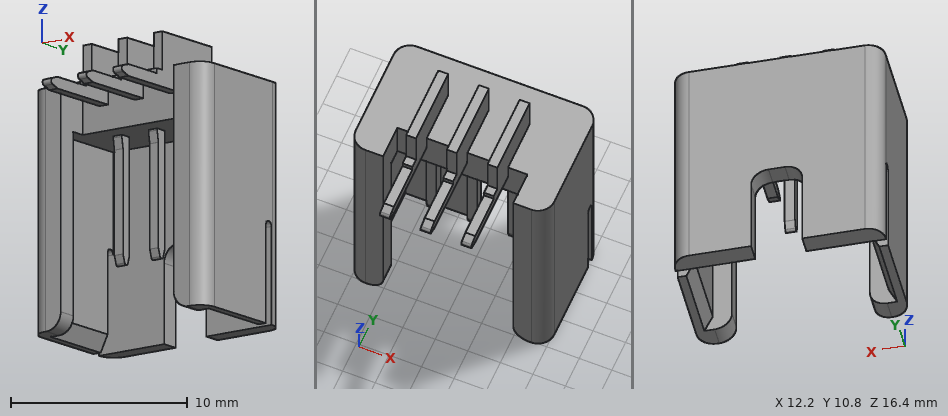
import cadquery as cq
import math


HOUSING_WIDTH = 12.2
HOUSING_DEPTH = 7.5
HOUSING_HEIGHT = 14.2
CORNER_RADIUS = 1.0
SIDE_WALL = 1.0
BACK_WALL = 1.1
ROOF_THICKNESS = 2.48
FRONT_OPENING_WIDTH = 8.0
ROOF_SETBACK = 2.07
LIP_THICKNESS = 1.2
LIP_CORNER_RADIUS = 1.0
LEAD_IN_WIDTH = 0.5
LEAD_IN_HEIGHT = 1.0

ARCH_WIDTH = 2.96
ARCH_HEIGHT = 5.72
ARCH_CORNER_RADIUS = 1.0
SLOT_WIDTH = 0.51
SLOT_HEIGHT = 6.0

CONTACT_COUNT = 3
CONTACT_PITCH = 2.5
CONTACT_THICKNESS = 0.61
OVERALL_HEIGHT = 16.45
OVERALL_DEPTH = 10.8
PLATE_FRONT = 0.53
PLATE_BACK = 5.2
PIN_HEIGHT = 0.69
PIN_DROP = 0.3
LEG_DEPTH = 0.61
LEG_FRONT = 3.47
LEG_BOTTOM = 4.2
LEG_ROOT_DROP = 0.08
LEG_FLARE = 0.12
LEG_FLARE_HEIGHT = 0.69
TIP_TAPER_LENGTH = 0.5

cavity_width = HOUSING_WIDTH - 2 * SIDE_WALL
cavity_back = HOUSING_DEPTH - BACK_WALL
roof_underside = HOUSING_HEIGHT - ROOF_THICKNESS


def block(width, y_front, y_back, z_bottom, z_top):
    """Box centred on X between the given Y and Z limits."""
    return cq.Workplane("XY").box(
        width, y_back - y_front, z_top - z_bottom, centered=(True, False, False)
    ).translate((0, y_front, z_bottom))


def lead_in():
    """Tapered widening at the mouth of the cavity, on both side walls."""
    half_width = cavity_width / 2
    mouth_half_width = half_width + LEAD_IN_WIDTH
    return (
        cq.Workplane("XZ", origin=(0, cavity_back, 0))
        .polyline([
            (-mouth_half_width, 0),
            (mouth_half_width, 0),
            (half_width, LEAD_IN_HEIGHT),
            (-half_width, LEAD_IN_HEIGHT),
        ])
        .close()
        .extrude(cavity_back - LIP_THICKNESS)
    )


def front_opening():
    """Opening between the front lips, flaring out in a round at the bottom."""
    opening = block(FRONT_OPENING_WIDTH, 0, LIP_THICKNESS, 0, HOUSING_HEIGHT)
    flare_width = FRONT_OPENING_WIDTH + 2 * LIP_CORNER_RADIUS
    flare = block(flare_width, 0, LIP_THICKNESS, 0, LIP_CORNER_RADIUS)
    for side in (-1, 1):
        rounding = (
            cq.Workplane("XZ", origin=(side * flare_width / 2, 0, LIP_CORNER_RADIUS))
            .circle(LIP_CORNER_RADIUS)
            .extrude(-LIP_THICKNESS)
        )
        flare = flare.cut(rounding)
    return opening.union(flare)


def back_arch():
    """Round-cornered cut-out through the back wall."""
    return (
        block(ARCH_WIDTH, cavity_back, HOUSING_DEPTH, 0, ARCH_HEIGHT)
        .edges("|Y and >Z")
        .fillet(ARCH_CORNER_RADIUS)
    )


def side_slots():
    """Round-ended slots through both side walls, along the back wall."""
    radius = SLOT_WIDTH / 2
    arc_centre = SLOT_HEIGHT - radius
    return (
        cq.Workplane("YZ")
        .moveTo(cavity_back - SLOT_WIDTH, 0)
        .lineTo(cavity_back - SLOT_WIDTH, arc_centre)
        .threePointArc((cavity_back - radius, SLOT_HEIGHT), (cavity_back, arc_centre))
        .lineTo(cavity_back, 0)
        .close()
        .extrude(HOUSING_WIDTH / 2, both=True)
    )


def housing():
    body = block(HOUSING_WIDTH, 0, HOUSING_DEPTH, 0, HOUSING_HEIGHT)
    body = body.edges("|Z").fillet(CORNER_RADIUS)
    cavity = block(cavity_width, LIP_THICKNESS, cavity_back, 0, roof_underside)
    roof_notch = block(FRONT_OPENING_WIDTH, 0, ROOF_SETBACK, 0, HOUSING_HEIGHT)
    for cutter in (cavity, lead_in(), roof_notch, front_opening(), back_arch(), side_slots()):
        body = body.cut(cutter)
    return body


def extrude_contact(outline):
    """Give a closed YZ outline the thickness of a contact, centred on X."""
    return outline.extrude(CONTACT_THICKNESS / 2, both=True)


def blade(length, depth):
    """Bar from the origin toward -Y, tapered to a tip with an arc tangent to both tapers."""
    taper_depth = depth / 4
    tip_half_depth = depth / 2 - taper_depth
    taper_angle = math.atan2(taper_depth, TIP_TAPER_LENGTH)
    tip_radius = tip_half_depth / math.cos(taper_angle)
    arc_start = tip_radius * (1 - math.sin(taper_angle)) - length
    shoulder = arc_start + TIP_TAPER_LENGTH
    return extrude_contact(
        cq.Workplane("YZ")
        .moveTo(0, depth / 2)
        .lineTo(shoulder, depth / 2)
        .lineTo(arc_start, tip_half_depth)
        .threePointArc((-length, 0), (arc_start, -tip_half_depth))
        .lineTo(shoulder, -depth / 2)
        .lineTo(0, -depth / 2)
        .close()
    )


def contact():
    """One contact: plate on the roof, pin to the front and leg down the cavity."""
    pin_top = HOUSING_HEIGHT - PIN_DROP
    pin_bottom = pin_top - PIN_HEIGHT
    leg_back = LEG_FRONT + LEG_DEPTH
    flare_top = roof_underside - LEG_ROOT_DROP
    flare_bottom = flare_top - LEG_FLARE_HEIGHT
    plate = extrude_contact(
        cq.Workplane("YZ").polyline([
            (PLATE_BACK, OVERALL_HEIGHT),
            (PLATE_FRONT, OVERALL_HEIGHT),
            (PLATE_FRONT, HOUSING_HEIGHT),
            (0, HOUSING_HEIGHT),
            (0, pin_bottom),
            (LEG_FRONT - LEG_FLARE, pin_bottom),
            (LEG_FRONT - LEG_FLARE, flare_top),
            (LEG_FRONT, flare_bottom),
            (leg_back, flare_bottom),
            (leg_back, pin_bottom),
            (PLATE_BACK, pin_bottom),
        ]).close()
    )
    pin = blade(OVERALL_DEPTH - HOUSING_DEPTH, PIN_HEIGHT)
    pin = pin.translate((0, 0, pin_top - PIN_HEIGHT / 2))
    leg = blade(flare_bottom - LEG_BOTTOM, LEG_DEPTH)
    leg = leg.rotate((0, 0, 0), (1, 0, 0), 90)
    leg = leg.translate((0, LEG_FRONT + LEG_DEPTH / 2, flare_bottom))
    return plate.union(pin).union(leg)


result = housing()
for index in range(CONTACT_COUNT):
    x = (index - (CONTACT_COUNT - 1) / 2) * CONTACT_PITCH
    result = result.union(contact().translate((x, 0, 0)))